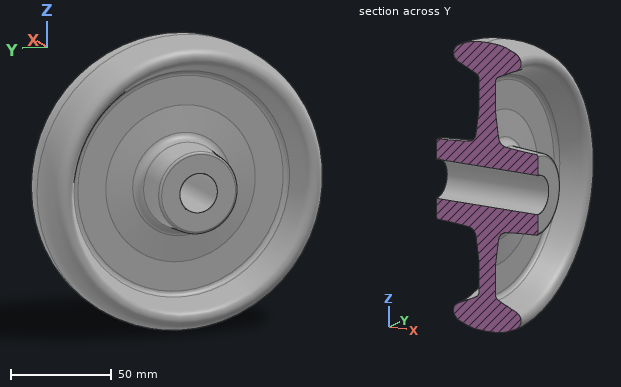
import cadquery as cq
import math

wheel_radius = 75.0
wheel_width = 40.2
hub_length = 60.0
bore_radius = 10.0

hub_edge_round = 1.2
hub_end_radius = 21.0
hub_root_radius = 22.5
hub_root_reach = 3.9

web_thickness = 9.9
web_flat_inner_radius = 40.0
web_flat_outer_radius = 55.0
cone_rise = 2.4

tyre_inner_radius = 57.8
rim_round_rise = 1.6
shoulder_radius = 66.9
tread_half_width = 15.8
crown_radius = 43.5

half_width = wheel_width / 2
half_hub = hub_length / 2
half_web = web_thickness / 2


def point_toward(start, end, distance):
    """Point at a distance from start on the line to end."""
    step = distance / math.dist(start, end)
    return tuple(a + step * (b - a) for a, b in zip(start, end))


def half_section():
    """Section of the wheel on the +X side, drawn as (x, radius)."""
    hub_edge = (half_hub - hub_edge_round, hub_end_radius)
    hub_corner = (half_web + cone_rise, hub_root_radius)
    cone_foot = (half_web, web_flat_inner_radius)
    rim_run = tyre_inner_radius - web_flat_outer_radius
    flank_angle = 2 * math.atan2(rim_round_rise, rim_run)
    flank_direction = (math.sin(flank_angle), math.cos(flank_angle))
    crown_angle = math.asin(tread_half_width / crown_radius)
    tread_edge_radius = wheel_radius - crown_radius * (1 - math.cos(crown_angle))
    tread_edge_direction = (-math.cos(crown_angle), math.sin(crown_angle))
    return (
        cq.Workplane("XY")
        .moveTo(0, bore_radius)
        .lineTo(half_hub, bore_radius)
        .lineTo(half_hub, hub_end_radius - hub_edge_round)
        .radiusArc(hub_edge, -hub_edge_round)
        .lineTo(*point_toward(hub_corner, hub_edge, hub_root_reach))
        .tangentArcPoint(point_toward(hub_corner, cone_foot, hub_root_reach), relative=False)
        .lineTo(*cone_foot)
        .lineTo(half_web, web_flat_outer_radius)
        .tangentArcPoint((rim_round_rise, rim_run))
        .spline(
            [(half_width, shoulder_radius), (tread_half_width, tread_edge_radius), (0, wheel_radius)],
            tangents=[flank_direction, (0, 1), tread_edge_direction, (-1, 0)],
            includeCurrent=True,
        )
        .close()
    )


half_wheel = half_section().revolve(360, (0, 0, 0), (1, 0, 0))
result = half_wheel.union(half_wheel.mirror("YZ"))